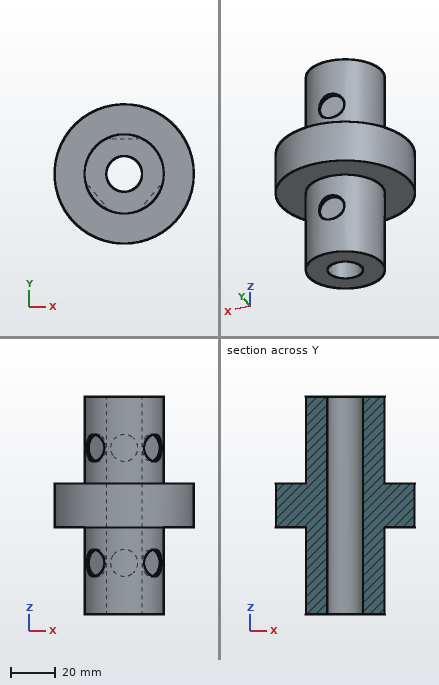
import cadquery as cq

total_height = 99.0
shaft_diameter = 36.0
flange_diameter = 63.5
flange_thickness = 20.0
bore_diameter = 16.1

pocket_diameter = 12.3
pocket_depth = 2.2
pocket_end_distance = 23.4
front_pocket_tilt = 40.0
pocket_angles = (90.0, 180.0 + front_pocket_tilt, 360.0 - front_pocket_tilt)

pocket_height = total_height / 2 - pocket_end_distance
pocket_floor_radius = shaft_diameter / 2 - pocket_depth


def make_cylinder(diameter, height):
    """Vertical cylinder centred on the origin."""
    return cq.Workplane("XY").cylinder(height, diameter / 2)


def make_pocket_cutter(angle, height):
    """Radial cylinder reaching from the pocket floor to beyond the shaft."""
    cutter_length = 2 * pocket_depth
    return (
        cq.Workplane("YZ", origin=(pocket_floor_radius, 0, height))
        .circle(pocket_diameter / 2)
        .extrude(cutter_length)
        .rotate((0, 0, 0), (0, 0, 1), angle)
    )


shaft = make_cylinder(shaft_diameter, total_height)
flange = make_cylinder(flange_diameter, flange_thickness)
bore = make_cylinder(bore_diameter, total_height)
result = shaft.union(flange).cut(bore)

for height in (-pocket_height, pocket_height):
    for angle in pocket_angles:
        result = result.cut(make_pocket_cutter(angle, height))